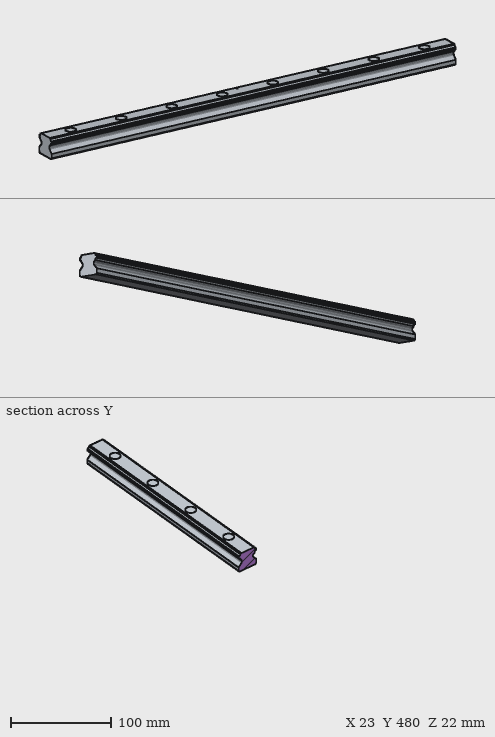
import cadquery as cq

rail_width = 23.0
rail_length = 480.0
rail_height = 22.0

half_width = rail_width / 2
base_chamfer = 1.4
base_side_top = 6.0
waist_half_width = 7.4
waist_bottom = 10.5
waist_top = 13.0
waist_fillet = 1.0

land_middle = 17.9
land_half_height = 0.6
land_chamfer = 0.6
groove_inner_half_width = 9.4
groove_rise = 3.3
groove_sag = 0.5
crown_half_width = 8.0

cap_diameter = 11.0
cap_recess = 0.3
hole_pitch = 60.0
hole_count = 8


def make_half_rail():
    """Extrude the +X half of the waisted section along Y, centred on the origin."""
    land_edge = half_width - land_chamfer
    land_edge_rise = land_half_height + land_chamfer
    section = (
        cq.Workplane("XZ")
        .lineTo(half_width - base_chamfer, 0)
        .lineTo(half_width, base_chamfer)
        .lineTo(half_width, base_side_top)
        .lineTo(waist_half_width, waist_bottom)
        .lineTo(waist_half_width, waist_top)
        .lineTo(groove_inner_half_width, land_middle - groove_rise)
        .sagittaArc((land_edge, land_middle - land_edge_rise), groove_sag)
        .lineTo(half_width, land_middle - land_half_height)
        .lineTo(half_width, land_middle + land_half_height)
        .lineTo(land_edge, land_middle + land_edge_rise)
        .sagittaArc((groove_inner_half_width, land_middle + groove_rise), groove_sag)
        .lineTo(crown_half_width, rail_height)
        .lineTo(0, rail_height)
        .close()
    )
    return section.extrude(rail_length / 2, both=True)


def round_waist(half_rail):
    """Round the two concave corners at the ends of the narrow waist."""
    margin = 0.1
    waist_corners = cq.selectors.BoxSelector(
        (waist_half_width - margin, -rail_length, waist_bottom - margin),
        (waist_half_width + margin, rail_length, waist_top + margin),
    )
    return half_rail.edges("|Y").edges(waist_corners).fillet(waist_fillet)


def cut_cap_recesses(rail):
    """Sink a row of evenly pitched shallow recesses into the top face."""
    recesses = (
        cq.Workplane("XY", origin=(0, 0, rail_height))
        .rarray(1, hole_pitch, 1, hole_count)
        .circle(cap_diameter / 2)
        .extrude(-cap_recess)
    )
    return rail.cut(recesses)


half_rail = round_waist(make_half_rail())
rail = half_rail.union(half_rail.mirror("YZ")).clean()
result = cut_cap_recesses(rail)